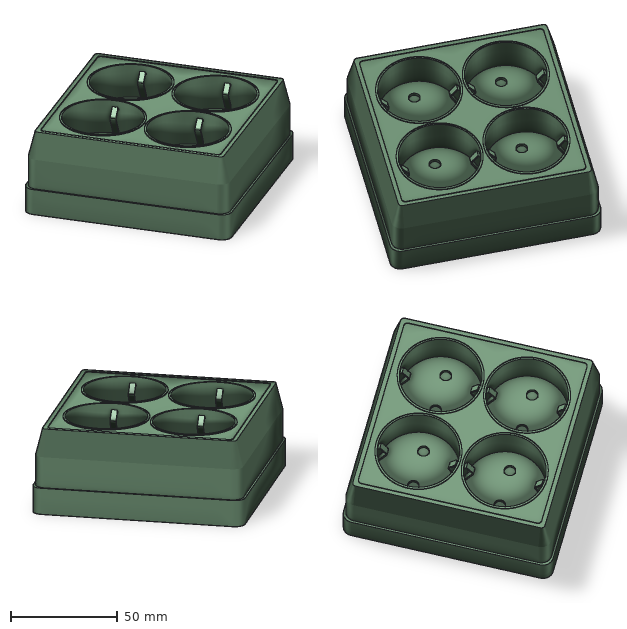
import cadquery as cq
import math

base_side = 102.0
base_height = 13.0
body_side = 100.0
body_height = 15.0
total_height = 41.0
corner_radius = 5.0
taper_height = total_height - base_height - body_height
taper_inset = 3.3
taper_angle = math.degrees(math.atan(taper_inset / taper_height))

rim_width = 2.1
recess_depth = 0.4
panel_side = body_side - 2 * (taper_inset + rim_width)
panel_corner_radius = 1.8
panel_z = total_height - recess_depth

socket_pitch = 42.0
socket_diameter = 39.0
socket_radius = socket_diameter / 2
collar_diameter = 41.0
socket_depth = 16.8
floor_z = total_height - socket_depth

pin_pitch = 19.2
pin_diameter = 5.5
pin_depth = 1.5

clip_width = 3.0
clip_thickness = 0.7
clip_tip_radius = 0.5
clip_nose_radius = 1.8
clip_tip_y = 18.4
clip_nose_y = 14.5
clip_nose_z = total_height - 7.3
clip_ramp_angle = 50.0


def rounded_block(side, height, radius, bottom_z):
    block = cq.Workplane("XY").box(side, side, height, centered=(True, True, False))
    return block.edges("|Z").fillet(radius).translate((0, 0, bottom_z))


def make_housing():
    base = rounded_block(base_side, base_height, corner_radius, 0)
    body = rounded_block(body_side, body_height, corner_radius, base_height)
    crown = body.faces(">Z").wires().toPending().workplane().extrude(taper_height, taper=taper_angle)
    return base.union(crown)


def make_clip():
    """Strip on the +Y wall: out and up to the tip, down the ramp to the nose, back to the floor."""
    ramp_slope = math.tan(math.radians(clip_ramp_angle))
    tip_z = clip_nose_z + (clip_tip_y - clip_nose_y) * ramp_slope
    back_y = socket_radius + 2 * clip_thickness
    outline = [
        (clip_tip_y, tip_z),
        (clip_nose_y, clip_nose_z),
        (socket_radius, floor_z),
        (back_y, floor_z),
        (back_y, tip_z - (back_y - clip_tip_y) / ramp_slope),
    ]
    clip = cq.Workplane("YZ").polyline(outline).close().extrude(clip_width / 2, both=True)
    clip = clip.edges("|X and <Y").fillet(clip_nose_radius)
    tip_corners = clip.edges(cq.selectors.ParallelDirSelector(cq.Vector(0, ramp_slope, -1)))
    clip = tip_corners.fillet(clip_tip_radius)

    hollow_profile = cq.Workplane("YZ").polyline(outline).close().offset2D(-clip_thickness)
    hollow = hollow_profile.extrude(clip_width, both=True)
    return clip.cut(hollow)


def make_socket_cavity():
    cavity = cq.Workplane("XY").workplane(offset=floor_z).circle(socket_radius).extrude(socket_depth)
    clip = make_clip()
    cavity = cavity.cut(clip).cut(clip.rotate((0, 0, 0), (0, 0, 1), 180))
    pin_holes = (
        cq.Workplane("XY")
        .workplane(offset=floor_z - pin_depth)
        .pushPoints([(-pin_pitch / 2, 0), (pin_pitch / 2, 0)])
        .circle(pin_diameter / 2)
        .extrude(pin_depth)
    )
    return cavity.union(pin_holes)


housing = make_housing()
recess = rounded_block(panel_side, recess_depth, panel_corner_radius, panel_z)
socket_centres = cq.Workplane("XY").rarray(socket_pitch, socket_pitch, 2, 2)
collars = socket_centres.circle(collar_diameter / 2).extrude(recess_depth).translate((0, 0, panel_z))
result = housing.cut(recess.cut(collars))

socket_cavity = make_socket_cavity()
cavities = socket_centres.eachpoint(lambda place: socket_cavity.val().moved(place))
result = result.cut(cavities)